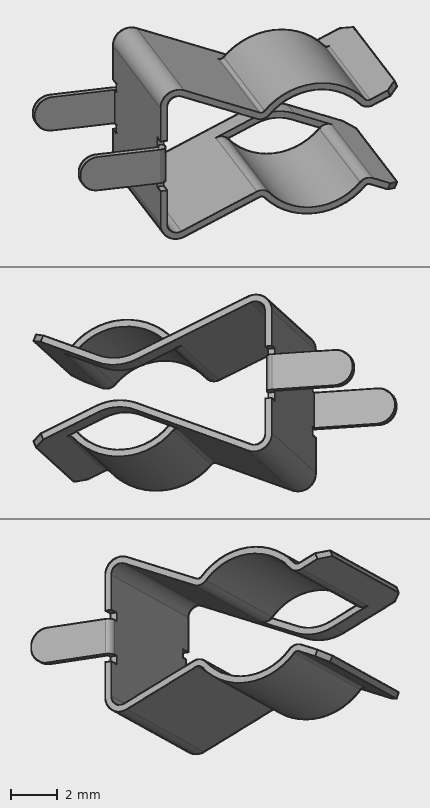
import math

import cadquery as cq

width = 7.11
overall_length = 14.22
overall_height = 6.9
thickness = 0.3
half_sheet = thickness / 2

wall_outer_y = 3.55
corner_outer_radius = 0.75

waist_y = 10.41
waist_half_gap = 0.78
waist_outer_radius = 2.3
edge_strip_width = 1.0
seat_outer_radius = 3.0
seat_root_radius = 0.2
tip_chamfer = 0.5

prong_width = 1.55
prong_tip_flat = 0.21
notch_depth = 0.5
notch_width = 0.37

touch_tolerance = 0.0001

wall_mid_y = wall_outer_y + half_sheet
corner_center = (wall_outer_y + corner_outer_radius, overall_height / 2 - corner_outer_radius)
corner_radius = corner_outer_radius - half_sheet
waist_center = (waist_y, waist_half_gap + waist_outer_radius)
waist_radius = waist_outer_radius - half_sheet
seat_radius = seat_outer_radius - half_sheet
root_radius = seat_root_radius + half_sheet

span_y = waist_center[0] - corner_center[0]
span_z = waist_center[1] - corner_center[1]
arm_angle = math.asin((corner_radius + waist_radius) / math.hypot(span_y, span_z)) - math.atan2(span_z, span_y)

root_distance = seat_radius + root_radius
root_off_axis = waist_center[1] * math.cos(arm_angle) - waist_radius + root_radius
root_along_arm = math.sqrt(root_distance**2 - root_off_axis**2)
root_y = root_along_arm * math.cos(arm_angle) - root_off_axis * math.sin(arm_angle)
root_z = root_along_arm * math.sin(arm_angle) + root_off_axis * math.cos(arm_angle)
seat_angle = math.asin(root_y / root_distance)


def bend_point(bend, heading, offset):
    """Point on a bend where the sheet has this heading, offset to the left of the midline."""
    center, radius = bend[:2]
    reach = radius - offset
    return (center[0] + reach * math.sin(heading), center[1] - reach * math.cos(heading))


def tip_point(offset):
    """Corner of the square-cut arm tip; the inner corner sets the overall length."""
    lower = bend_point((waist_center, waist_radius), arm_angle, -half_sheet)
    run = (overall_length - lower[0]) / math.cos(arm_angle)
    start = bend_point((waist_center, waist_radius), arm_angle, offset)
    return (start[0] + run * math.cos(arm_angle), start[1] + run * math.sin(arm_angle))


def add_bend(sketch, bend, first_heading, last_heading, offset):
    """Continue the outline around a bend, with a straight run up to it unless it is already touching."""
    start = bend_point(bend, first_heading, offset)
    middle = bend_point(bend, (first_heading + last_heading) / 2, offset)
    end = bend_point(bend, last_heading, offset)
    current = sketch.val().endPoint() if isinstance(sketch.val(), cq.Edge) else sketch.val()
    if math.dist(current.toTuple()[1:], start) > touch_tolerance:
        sketch = sketch.lineTo(*start)
    return sketch.threePointArc(middle, end)


def sheet_profile(bends, x_start, x_length):
    """Extrude the upper half of the clip; bends are (centre, signed radius, heading in, heading out)."""
    left = half_sheet
    right = -half_sheet
    sketch = cq.Workplane("YZ", origin=(x_start, 0, 0)).moveTo(wall_mid_y - left, 0)
    for bend in bends:
        heading_in, heading_out = bend[2:]
        sketch = add_bend(sketch, bend, heading_in, heading_out, left)
    sketch = sketch.lineTo(*tip_point(left)).lineTo(*tip_point(right))
    for bend in reversed(bends):
        heading_in, heading_out = bend[2:]
        sketch = add_bend(sketch, bend, heading_out, heading_in, right)
    return sketch.lineTo(wall_mid_y - right, 0).close().extrude(x_length)


def upper_half():
    """Back wall above the fuse axis and one arm: plain edge strip plus seat."""
    corner = (corner_center, -corner_radius, math.pi / 2, -arm_angle)
    waist = (waist_center, waist_radius, -arm_angle, arm_angle)
    root_in = ((waist_y - root_y, root_z), root_radius, -arm_angle, seat_angle)
    seat = ((waist_y, 0), -seat_radius, seat_angle, -seat_angle)
    root_out = ((waist_y + root_y, root_z), root_radius, -seat_angle, arm_angle)
    strip = sheet_profile([corner, waist], 0, edge_strip_width)
    seated = sheet_profile([corner, root_in, seat, root_out], edge_strip_width, width - edge_strip_width)
    half = strip.union(seated).clean()
    return half.faces(">Y").edges("not |X").chamfer(tip_chamfer)


def notch(x_start):
    """Gap in the wall edge, as wide as a prong and its two relief notches."""
    gap_width = prong_width + 2 * notch_width
    cutter = cq.Workplane("XY").box(notch_depth, 2 * thickness, gap_width, centered=(False, True, True))
    return cutter.translate((x_start, wall_mid_y, 0))


def prong():
    """Prong at X = 0 with a rounded tip, bent out of the back wall."""
    half_width = prong_width / 2
    bend_end_y = wall_outer_y + thickness
    bend_middle = thickness * (1 - math.cos(math.pi / 4))
    section = (
        cq.Workplane("XY")
        .lineTo(0, wall_outer_y)
        .threePointArc((bend_middle, bend_end_y - bend_middle), (thickness, bend_end_y))
        .lineTo(notch_depth, bend_end_y)
        .lineTo(notch_depth, wall_outer_y)
        .lineTo(thickness, wall_outer_y)
        .lineTo(thickness, 0)
        .close()
        .extrude(half_width, both=True)
    )
    half_flat = prong_tip_flat / 2
    tip_center_y = math.sqrt(half_width**2 - half_flat**2)
    arc_middle_y = tip_center_y - half_width * math.sin(math.pi / 4)
    arc_middle_z = half_width * math.cos(math.pi / 4)
    outline = (
        cq.Workplane("YZ")
        .moveTo(bend_end_y, half_width)
        .lineTo(tip_center_y, half_width)
        .threePointArc((arc_middle_y, arc_middle_z), (0, half_flat))
        .lineTo(0, -half_flat)
        .threePointArc((arc_middle_y, -arc_middle_z), (tip_center_y, -half_width))
        .lineTo(bend_end_y, -half_width)
        .close()
        .extrude(notch_depth)
    )
    return section.intersect(outline)


upper = upper_half()
result = upper.union(upper.mirror("XY"))
result = result.cut(notch(0)).cut(notch(width - notch_depth))
left_prong = prong()
right_prong = left_prong.mirror("YZ").translate((width, 0, 0))
result = result.union(left_prong).union(right_prong).clean()